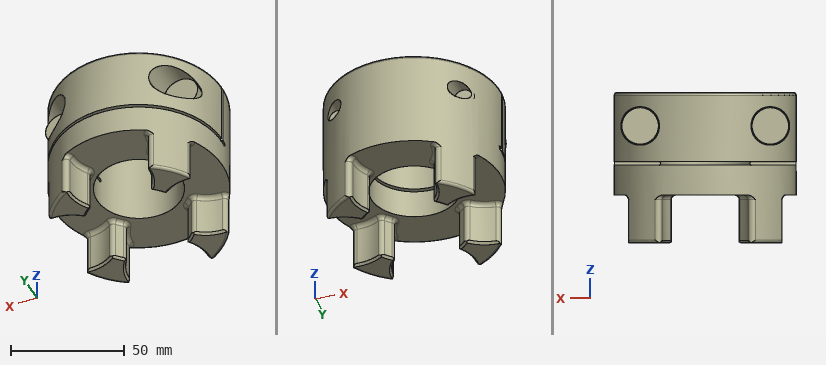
import cadquery as cq
import math


OUTER_RADIUS = 40.0
BORE_RADIUS = 20.0
HEIGHT = 66.0
END_FILLET = 1.3
BORE_CHAMFER = 0.6

JAW_COUNT = 4
JAW_PITCH = 360 / JAW_COUNT
JAW_HEIGHT = 21.0
JAW_INNER_RADIUS = 24.0
LOBE_RADIUS = 18.9
LOBE_DISTANCE = 32.0
JAW_CORNER_RADIUS = 2.0
JAW_ROOT_FILLET = 2.0
JAW_END_CHAMFER = 1.0

SAW_WIDTH = 1.5
CROSS_CUT_Z = 34.9
CROSS_CUT_END_Y = -3.3

SCREW_X = 28.6
SCREW_Z = 51.4
SHANK_DIAMETER = 10.0
HEAD_DIAMETER = 16.0
HEAD_LENGTH = 10.0
HEAD_TOP_Y = 18.8
SHANK_END_Y = -21.0
COUNTERBORE_DIAMETER = 17.0
OUTLET_DIAMETER = 8.5

HEAD_SEAT_Y = HEAD_TOP_Y - HEAD_LENGTH

CLEARANCE = 8.0
TOOL_RADIUS = OUTER_RADIUS + CLEARANCE


def polar(radius, degrees):
    angle = math.radians(degrees)
    return (radius * math.cos(angle), radius * math.sin(angle))


def corner_angle(corner_distance):
    """Angle between the jaw axis and the centre of a corner round that touches the lobe."""
    reach = LOBE_RADIUS + JAW_CORNER_RADIUS
    cosine = (corner_distance**2 + LOBE_DISTANCE**2 - reach**2) / (2 * corner_distance * LOBE_DISTANCE)
    return JAW_PITCH / 2 - math.degrees(math.acos(cosine))


def toward(start, end, distance):
    """Point at the given distance from start on the line to end."""
    share = distance / math.dist(start, end)
    return tuple(a + share * (b - a) for a, b in zip(start, end))


def mirrored(point):
    return (point[0], -point[1])


def arc_middle(centre, start, end, radius):
    chord_middle = ((start[0] + end[0]) / 2, (start[1] + end[1]) / 2)
    return toward(centre, chord_middle, radius)


def jaw_outline():
    """Jaw section along +X. Its outer side is a pair of tangents just outside the hub cylinder."""
    lobe = polar(LOBE_DISTANCE, JAW_PITCH / 2)
    outer_distance = OUTER_RADIUS - JAW_CORNER_RADIUS
    inner_distance = JAW_INNER_RADIUS + JAW_CORNER_RADIUS
    outer_angle = corner_angle(outer_distance)
    inner_angle = corner_angle(inner_distance)
    outer_centre = polar(outer_distance, outer_angle)
    inner_centre = polar(inner_distance, inner_angle)

    apex = (OUTER_RADIUS / math.cos(math.radians(outer_angle)), 0)
    outer_start = polar(OUTER_RADIUS, outer_angle)
    flank_start = toward(outer_centre, lobe, JAW_CORNER_RADIUS)
    flank_end = toward(inner_centre, lobe, JAW_CORNER_RADIUS)
    inner_end = polar(JAW_INNER_RADIUS, inner_angle)

    outer_middle = arc_middle(outer_centre, outer_start, flank_start, JAW_CORNER_RADIUS)
    flank_middle = arc_middle(lobe, flank_start, flank_end, LOBE_RADIUS)
    inner_middle = arc_middle(inner_centre, flank_end, inner_end, JAW_CORNER_RADIUS)

    return (
        cq.Workplane("XY")
        .moveTo(*apex)
        .lineTo(*outer_start)
        .threePointArc(outer_middle, flank_start)
        .threePointArc(flank_middle, flank_end)
        .threePointArc(inner_middle, inner_end)
        .threePointArc((JAW_INNER_RADIUS, 0), mirrored(inner_end))
        .threePointArc(mirrored(inner_middle), mirrored(flank_end))
        .threePointArc(mirrored(flank_middle), mirrored(flank_start))
        .threePointArc(mirrored(outer_middle), mirrored(outer_start))
        .close()
    )


def jaw_gap_cutter():
    """Disc with a jaw-shaped opening per jaw; its rounded upper edges leave the root fillets."""
    cutter = cq.Workplane("XY").circle(TOOL_RADIUS).extrude(JAW_HEIGHT)
    jaw = jaw_outline().extrude(JAW_HEIGHT)
    for index in range(JAW_COUNT):
        cutter = cutter.cut(jaw.rotate((0, 0, 0), (0, 0, 1), (index + 0.5) * JAW_PITCH))
    rim_length = 2 * math.pi * TOOL_RADIUS
    opening_edges = [edge for edge in cutter.faces(">Z").edges().vals() if edge.Length() < rim_length / 2]
    return cutter.newObject(opening_edges).fillet(JAW_ROOT_FILLET)


def chamfer_cone(radius, centre=(0, 0)):
    wide_radius = radius + JAW_END_CHAMFER
    return cq.Solid.makeCone(wide_radius, radius, JAW_END_CHAMFER, pnt=cq.Vector(*centre, 0))


def jaw_end_cones():
    """Cones that chamfer the jaw ends along the lobes and the inner cylinder."""
    cones = cq.Workplane(obj=chamfer_cone(JAW_INNER_RADIUS))
    for index in range(JAW_COUNT):
        lobe = polar(LOBE_DISTANCE, index * JAW_PITCH)
        cones = cones.union(cq.Workplane(obj=chamfer_cone(LOBE_RADIUS, lobe)))
    return cones


def y_cylinder(x, diameter, start_y, end_y):
    """Cylinder along Y at screw height."""
    return (
        cq.Workplane("XZ", origin=(x, start_y, SCREW_Z))
        .circle(diameter / 2)
        .extrude(start_y - end_y)
    )


def screw_hole(x):
    """Counterbore and shank hole, continued by a narrower outlet on the -Y side."""
    counterbore = y_cylinder(x, COUNTERBORE_DIAMETER, OUTER_RADIUS, HEAD_SEAT_Y)
    shank_hole = y_cylinder(x, SHANK_DIAMETER, HEAD_SEAT_Y, SHANK_END_Y)
    outlet = y_cylinder(x, OUTLET_DIAMETER, SHANK_END_Y, -OUTER_RADIUS)
    return counterbore.union(shank_hole).union(outlet)


def blank():
    """Hub and cap before they are separated."""
    body = cq.Workplane("XY").circle(OUTER_RADIUS).extrude(HEIGHT)
    body = body.edges("%CIRCLE").fillet(END_FILLET)
    body = body.cut(cq.Workplane("XY").circle(BORE_RADIUS).extrude(HEIGHT))
    body = body.faces(">Z").edges(cq.selectors.RadiusNthSelector(0)).chamfer(BORE_CHAMFER)
    body = body.cut(jaw_end_cones())
    body = body.cut(jaw_gap_cutter())
    for x in (-SCREW_X, SCREW_X):
        body = body.cut(screw_hole(x))
    return body


def cap_space(offset):
    """Space of the cap, grown by the offset past the two saw cut centre planes."""
    width = 2 * TOOL_RADIUS
    space = cq.Workplane("XY").box(width, TOOL_RADIUS, HEIGHT, centered=(True, False, False))
    return space.translate((0, -offset, CROSS_CUT_Z - offset))


def cross_cut_end():
    """Round-ended run of the cross cut past the vertical cut."""
    width = 2 * TOOL_RADIUS
    round_y = CROSS_CUT_END_Y + SAW_WIDTH / 2
    run = cq.Workplane("XY").box(width, -round_y, SAW_WIDTH, centered=(True, False, True))
    run = run.translate((0, round_y, CROSS_CUT_Z))
    end = cq.Workplane("YZ", origin=(-TOOL_RADIUS, round_y, CROSS_CUT_Z)).circle(SAW_WIDTH / 2).extrude(width)
    return run.union(end)


def make_hub(body):
    return body.cut(cap_space(SAW_WIDTH / 2)).cut(cross_cut_end())


def make_cap(body):
    return body.intersect(cap_space(-SAW_WIDTH / 2))


def make_screw(x):
    head = y_cylinder(x, HEAD_DIAMETER, HEAD_TOP_Y, HEAD_SEAT_Y)
    shank = y_cylinder(x, SHANK_DIAMETER, HEAD_SEAT_Y, SHANK_END_Y)
    return head.union(shank)


uncut = blank()
hub = make_hub(uncut)
cap = make_cap(uncut)
screws = [make_screw(x) for x in (-SCREW_X, SCREW_X)]

result = cq.Compound.makeCompound([hub.val(), cap.val(), *[screw.val() for screw in screws]])